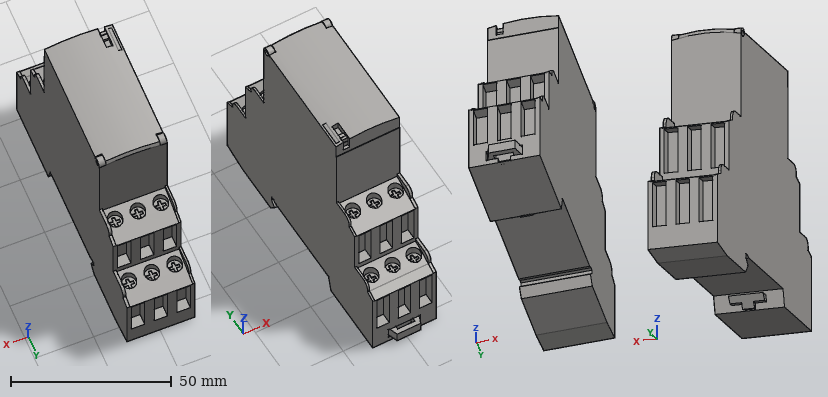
import cadquery as cq
import math


width = 22.9
half_width = width / 2
height = 79.5
base_half_depth = 45.0
middle_half_depth = 33.8
tower_half_depth = 22.5
margin = 0.9

upper_cheek_top = 49.65
lower_cheek_top = 29.0
rear_lower_drop = 0.4
cheek_depth = 8.0
cheek_radius = 2.6
cheek_step_below_top = 3.5
tier_edge_below_top = 4.8
floor_back_below_top = 1.1
floor_below_rim = 0.2
floor_bulge = 0.1
creased_floor_bulge = 0.4
left_cheek = 0.7
right_cheek = 1.0

terminal_pitch = 7.7
screw_diameter = 4.8
screw_from_wall = 3.8
screw_head_below_top = 4.3
cross_length = 3.3
cross_arm = 0.9
cross_depth = 0.5
slot_width = 4.5
slot_height = 14.4
slot_depth = 3.7
slot_below_edge = 0.6

groove_top = 5.6
groove_front_top = -17.6
groove_front_foot = -19.1
groove_rear_top = 14.9
hook_back = 17.6
hook_notch_top = 6.2
hook_notch_front = 16.4
hook_tip = (15.7, 2.9)
hook_root_height = 4.8
hook_foot = 18.1
heel_start = 35.6
heel_rise = 1.6

clip_reach = 2.8
clip_bottom = 2.1
clip_top = groove_top
clip_root_width = 11.4
clip_tip_width = 8.5
clip_window_width = 6.2
clip_window_reach = 1.1
clip_pocket_width = 11.7
clip_pocket_bottom = 1.9
clip_pocket_depth = 1.4
tongue_width = 4.0
tongue_bottom = 0.4
latch_tip_y = -15.1
latch_top = 4.2
latch_foot_y = -18.2

lid_bottom = 73.1
lid_setback = 0.2
crown_rise = 1.3
rear_bevel_depth = 1.3
rear_bevel_drop = 0.65
hinge_y = 20.7
hinge_z = 77.4
hinge_radius = tower_half_depth - hinge_y
hinge_hole_diameter = 1.9
ear_width = 2.3

latch_slot_x = -7.6
latch_slot_width = 2.2
latch_slot_rear = -15.1
latch_sill_front = -21.2
latch_sill_rear = -20.0
latch_ledge_rear = -18.5
latch_sill_top = 78.3
latch_step_height = 76.7
latch_front_floor = 74.9
latch_ledge_height = 77.9
latch_step = 0.1
relief_outer_x = -10.8
relief_inner_x = -9.65
relief_rear = -12.9
relief_front = -21.25
relief_depth = 0.1

terminal_columns = [-terminal_pitch, 0, terminal_pitch]

creased_tier = (-1, middle_half_depth, base_half_depth, lower_cheek_top)
rounded_tiers = [
    (-1, tower_half_depth, middle_half_depth, upper_cheek_top),
    (1, tower_half_depth, middle_half_depth, upper_cheek_top),
    (1, middle_half_depth, base_half_depth, lower_cheek_top - rear_lower_drop),
]
tiers = [creased_tier] + rounded_tiers


def crown_height(x):
    """Height of the crowned lid top at the given X."""
    radius = (half_width**2 + crown_rise**2) / (2 * crown_rise)
    return height - radius + math.sqrt(radius**2 - x**2)


def box(x_range, y_range, z_range):
    """Axis-aligned box between the given limits."""
    low, high = zip(x_range, y_range, z_range)
    size = [b - a for a, b in zip(low, high)]
    return cq.Workplane("XY").box(*size, centered=False).translate(low)


def centred_slab(outline, slab_width):
    """Extrude a closed YZ outline symmetrically about X = 0."""
    return outline.close().extrude(slab_width / 2, both=True)


def tier_block(side, inner, outer, top):
    """Full-width tier from the middle plane outwards, with the cheek profile."""
    cheek_front = inner + cheek_depth
    arc_offset = cheek_radius * (1 - math.sqrt(0.5))
    outline = (
        cq.Workplane("YZ")
        .moveTo(0, 0)
        .lineTo(0, top)
        .lineTo(side * (cheek_front - cheek_radius), top)
        .threePointArc(
            (side * (cheek_front - arc_offset), top - arc_offset),
            (side * cheek_front, top - cheek_radius),
        )
        .lineTo(side * cheek_front, top - cheek_step_below_top)
        .lineTo(side * outer, top - tier_edge_below_top)
        .lineTo(side * outer, 0)
    )
    return centred_slab(outline, width)


def tier_floor_cut(side, inner, outer, top, creased):
    """Space above the rounded terminal floor, which may end in a crease and a flat strip."""
    floor_width = width - left_cheek - right_cheek
    back_z = top - floor_back_below_top
    edge_z = top - tier_edge_below_top - floor_below_rim
    if creased:
        round_end = inner + cheek_depth
        round_end_z = top - cheek_step_below_top - floor_below_rim
        bulge = creased_floor_bulge
    else:
        round_end = outer
        round_end_z = edge_z
        bulge = floor_bulge
    middle = (side * (inner + round_end) / 2, (back_z + round_end_z) / 2 + bulge)
    outline = (
        cq.Workplane("YZ")
        .moveTo(side * inner, top + margin)
        .lineTo(side * inner, back_z)
        .threePointArc(middle, (side * round_end, round_end_z))
    )
    if creased:
        outline = outline.lineTo(side * outer, edge_z)
    outline = outline.lineTo(side * outer, top + margin)
    return centred_slab(outline, floor_width).translate(((left_cheek - right_cheek) / 2, 0, 0))


def terminal_cuts(side, inner, outer, top):
    """Screw holes with cross recesses, and the wire slots below them."""
    screw_y = side * (inner + screw_from_wall)
    head_z = top - screw_head_below_top
    slot_top = top - tier_edge_below_top - slot_below_edge
    screw_points = [(x, screw_y) for x in terminal_columns]
    head_plane = cq.Workplane("XY", origin=(0, 0, head_z)).pushPoints(screw_points)
    cuts = head_plane.circle(screw_diameter / 2).extrude(top - head_z)
    cuts = cuts.union(head_plane.rect(cross_length, cross_arm).extrude(-cross_depth))
    cuts = cuts.union(head_plane.rect(cross_arm, cross_length).extrude(-cross_depth))
    slots = (
        cq.Workplane("XY")
        .pushPoints([(x, side * outer) for x in terminal_columns])
        .rect(slot_width, 2 * slot_depth)
        .extrude(slot_height)
        .translate((0, 0, slot_top - slot_height))
    )
    return cuts.union(slots)


def rail_cuts():
    """Rail groove with its fixed rear hook, and the sloped heel."""
    groove = (
        cq.Workplane("YZ")
        .moveTo(groove_front_foot, 0)
        .lineTo(groove_front_top, groove_top)
        .lineTo(groove_rear_top, groove_top)
        .lineTo(hook_notch_front, hook_notch_top)
        .lineTo(hook_back, hook_notch_top)
        .lineTo(hook_back, hook_root_height)
        .lineTo(*hook_tip)
        .lineTo(hook_foot, 0)
    )
    heel = (
        cq.Workplane("YZ")
        .moveTo(heel_start, 0)
        .lineTo(base_half_depth, heel_rise)
        .lineTo(base_half_depth, 0)
    )
    return centred_slab(groove, width).union(centred_slab(heel, width))


def clip_pocket():
    """Shallow opening around the clip and its tongue in the front face."""
    y_range = (-base_half_depth, -base_half_depth + clip_pocket_depth)
    half_pocket = clip_pocket_width / 2
    half_tongue = tongue_width / 2
    opening = box((-half_pocket, half_pocket), y_range, (clip_pocket_bottom, clip_top))
    tongue_opening = box((-half_tongue, half_tongue), y_range, (tongue_bottom, clip_top))
    return opening.union(tongue_opening)


def clip_handle():
    """Tapered pull handle with a window, standing out of the front face."""
    pocket_back = -base_half_depth + clip_pocket_depth
    clip_height = clip_top - clip_bottom
    handle = (
        cq.Workplane("XY", origin=(0, 0, clip_bottom))
        .moveTo(-clip_root_width / 2, pocket_back)
        .lineTo(-clip_tip_width / 2, -base_half_depth - clip_reach)
        .lineTo(clip_tip_width / 2, -base_half_depth - clip_reach)
        .lineTo(clip_root_width / 2, pocket_back)
        .close()
        .extrude(clip_height)
    )
    half_window = clip_window_width / 2
    window = box(
        (-half_window, half_window),
        (-base_half_depth - clip_window_reach, pocket_back),
        (clip_bottom, clip_top),
    )
    return handle.cut(window)


def clip_latch():
    """Bevelled inner end of the clip, reaching into the rail groove."""
    bevel_run = (latch_tip_y - latch_foot_y) / (latch_top - tongue_bottom)
    shoulder_y = latch_foot_y + bevel_run * (clip_bottom - tongue_bottom)
    root_y = groove_front_foot - margin
    bar = (
        cq.Workplane("YZ")
        .moveTo(latch_tip_y, latch_top)
        .lineTo(shoulder_y, clip_bottom)
        .lineTo(root_y, clip_bottom)
        .lineTo(root_y, latch_top)
    )
    tongue = (
        cq.Workplane("YZ")
        .moveTo(shoulder_y, clip_bottom)
        .lineTo(latch_foot_y, tongue_bottom)
        .lineTo(root_y, tongue_bottom)
        .lineTo(root_y, clip_bottom)
    )
    return centred_slab(bar, clip_root_width).union(centred_slab(tongue, tongue_width))


def lid():
    """Crowned lid, bevelled along its rear edge and cleared around the ears."""
    side_height = crown_height(half_width)
    body = (
        cq.Workplane("XZ", origin=(0, tower_half_depth, 0))
        .moveTo(-half_width, lid_bottom)
        .lineTo(-half_width, side_height)
        .threePointArc((0, height), (half_width, side_height))
        .lineTo(half_width, lid_bottom)
        .close()
        .extrude(2 * tower_half_depth - lid_setback)
    )
    body = body.faces(">Y").edges("%CIRCLE").chamfer(rear_bevel_drop, rear_bevel_depth)
    ear_clearance_y = (hinge_y - hinge_radius, tower_half_depth)
    for x_range in ((-half_width, ear_width - half_width), (half_width - ear_width, half_width)):
        body = body.cut(box(x_range, ear_clearance_y, (hinge_z, height)))
    return body


def hinge_ears():
    """Round-topped ears at both rear corners of the tower."""
    disc = cq.Workplane("YZ").center(hinge_y, hinge_z).circle(hinge_radius).extrude(ear_width)
    left_ear = disc.translate((-half_width, 0, 0))
    right_ear = disc.translate((half_width - ear_width, 0, 0))
    return left_ear.union(right_ear)


def latch_slot():
    """Stepped slot for the lid latch, open to the front of the lid."""
    outline = (
        cq.Workplane("YZ")
        .moveTo(-tower_half_depth, latch_front_floor)
        .lineTo(latch_sill_front, latch_front_floor)
        .lineTo(latch_sill_front, latch_step_height)
        .lineTo(latch_sill_front + latch_step, latch_step_height)
        .lineTo(latch_sill_front + latch_step, latch_sill_top)
        .lineTo(latch_sill_rear, latch_sill_top)
        .lineTo(latch_sill_rear, latch_ledge_height)
        .lineTo(latch_ledge_rear, latch_ledge_height)
        .lineTo(latch_ledge_rear, latch_step_height)
        .lineTo(latch_slot_rear, latch_step_height)
        .lineTo(latch_slot_rear, height)
        .lineTo(-tower_half_depth, height)
    )
    return centred_slab(outline, latch_slot_width).translate((latch_slot_x, 0, 0))


def finger_relief():
    """Shallow relief that fades out towards the middle of the lid."""
    middle_x = (relief_outer_x + relief_inner_x) / 2
    return (
        cq.Workplane("XZ", origin=(0, relief_rear, 0))
        .moveTo(relief_outer_x, crown_height(relief_outer_x) - relief_depth)
        .threePointArc(
            (middle_x, crown_height(middle_x) - relief_depth / 4),
            (relief_inner_x, crown_height(relief_inner_x)),
        )
        .lineTo(relief_inner_x, height)
        .lineTo(relief_outer_x, height)
        .close()
        .extrude(relief_rear - relief_front)
    )


x_span = (-half_width, half_width)
y_span = (-tower_half_depth, tower_half_depth)
housing = box(x_span, y_span, (0, lid_bottom))
for tier in tiers:
    housing = housing.union(tier_block(*tier))
for tier in tiers:
    floor_cut = tier_floor_cut(*tier, creased=tier == creased_tier)
    housing = housing.cut(floor_cut).cut(terminal_cuts(*tier))

housing = housing.cut(rail_cuts()).cut(clip_pocket())
housing = housing.union(clip_handle()).union(clip_latch())

hinge_hole = cq.Workplane("YZ").center(hinge_y, hinge_z).circle(hinge_hole_diameter / 2)
housing = housing.union(lid()).union(hinge_ears())
housing = housing.cut(hinge_hole.extrude(half_width, both=True))
result = housing.cut(latch_slot()).cut(finger_relief())